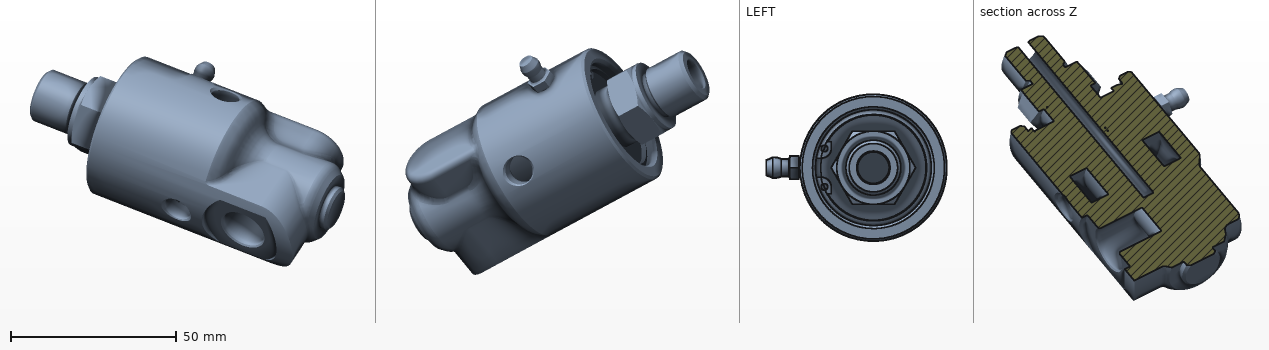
import cadquery as cq
import math

TOTAL_LENGTH = 100.2
TOTAL_WIDTH = 54.7

THREAD_R = 16.6 / 2
THREAD_CHAMFER = 1.0
THREAD_END = 13.4
RUNOUT_CHAMFER = 0.7
RELIEF_R = 7.4
COLLAR_START = 14.6
HEX_START = 16.0
HEX_END = 24.9
HEX_FLATS = 22.2
CORNERS_PER_FLATS = 1 / math.cos(math.pi / 6)
HEX_CORNERS = HEX_FLATS * CORNERS_PER_FLATS
HEX_CHAMFER = 0.9
NECK_R = 19.1 / 2
SHAFT_BORE_D = 9.5
SHAFT_BORE_DEPTH = 70.2
SHAFT_BORE_CHAMFER = 0.3

BODY_R = 44.5 / 2
BODY_START = 26.4
BODY_END = 64.9
BODY_CHAMFER = 0.7
RECESS_MOUTH_R = 18.4
RECESS_R = 35.1 / 2
RECESS_DEPTH = 4.4
RECESS_FLOOR = BODY_START + RECESS_DEPTH
DISC_R = 15.9
DISC_STEP = 0.4
DISC_FACE = RECESS_FLOOR - DISC_STEP

RING_RISE = 1.5
RING_FACE = DISC_FACE - RING_RISE
RING_INNER_R = 16.1
RING_BEVEL_ANGLE = 22.0
RING_BEVEL = (RECESS_R - RING_INNER_R) * math.tan(math.radians(RING_BEVEL_ANGLE))
RING_GAP = 5.8
LUG_INNER_Y = 12.7
LUG_TOP_Z = 7.8
LUG_CORNER_R = 3.0
LUG_HOLE_D = 2.0
LUG_HOLE_Y = 14.8
LUG_HOLE_Z = 5.8

SHOULDER_END = 69.5
SHOULDER_END_R = 17.8
WAIST_START = 77.3
WAIST_R = 12.8
TAIL_ROUND_START = 93.8
TAIL_ROUND_END = 96.2
TAIL_ROUND_END_R = 11.8
TAIL_END = 97.8
TAIL_END_R = 10.4
STUB_R = 13.6 / 2
STUB_CHAMFER = 0.8

BOSS_X = 84.1
PORT_BOSS_R = 12.6
BACK_BOSS_R = 9.8
BACK_BOSS_Y = 19.1
BACK_BOSS_ROUND = 2.1
BACK_BOSS_BLEND = 2.8
PORT_BOSS_BLEND = 1.6

PORT_X = 78.6
PORT_D = 13.9
PORT_MOUTH_D = 14.8
SPOTFACE_D = 25.4
SPOTFACE_Y = -19.8
PORT_FLOOR_Y = 1.0
TUBE_R = 6.2

WEEP_X = 57.2
WEEP_D = 8.6
WEEP_MOUTH_D = 10.1
WEEP_ANGLES = (60, 180, 300)
CHAMBER_R = 16.6
CHAMBER_LENGTH = 12.0
ROTOR_R = 11.0

NIPPLE_X = 40.4
NIPPLE_FLATS = 7.1
NIPPLE_HEX_BASE = 22.6
NIPPLE_HEX_TOP = 25.3
NIPPLE_TOP = TOTAL_WIDTH - BODY_R
NIPPLE_SEAT_R = 3.1
NIPPLE_NECK_R = 2.7
NIPPLE_NECK_BASE = 25.7
NIPPLE_NECK_TOP = 27.9
NIPPLE_HEAD_R = 6.3 / 2
NIPPLE_HEAD_Y = 29.4
NIPPLE_HEAD_EDGE = 30.5
NIPPLE_TIP_R = 2.3


def disc(radius, start, end):
    """Cylinder on the X axis."""
    return cq.Workplane("YZ", origin=(start, 0, 0)).circle(radius).extrude(end - start)


def drill(x, diameter, mouth_diameter, mouth_y, tip_y):
    """Flat-ended hole parallel to Y with a 45 degree countersink at its mouth."""
    sink = (mouth_diameter - diameter) / 2
    sink_y = mouth_y + math.copysign(sink, tip_y - mouth_y)
    return (
        cq.Workplane("XY", origin=(x, 0, 0))
        .moveTo(0, mouth_y)
        .lineTo(mouth_diameter / 2, mouth_y)
        .lineTo(diameter / 2, sink_y)
        .lineTo(diameter / 2, tip_y)
        .lineTo(0, tip_y)
        .close()
        .revolve(360, (0, 0, 0), (0, 1, 0))
    )


def spin(profile):
    """Solid of revolution about X from an XY profile."""
    return profile.close().revolve(360, (0, 0, 0), (1, 0, 0))


def make_shaft():
    """Threaded end, collar, hexagon and neck."""
    turned = spin(
        cq.Workplane("XY")
        .moveTo(0, 0)
        .lineTo(0, THREAD_R - THREAD_CHAMFER)
        .lineTo(THREAD_CHAMFER, THREAD_R)
        .lineTo(THREAD_END - RUNOUT_CHAMFER, THREAD_R)
        .lineTo(THREAD_END, RELIEF_R)
        .lineTo(COLLAR_START, RELIEF_R)
        .lineTo(COLLAR_START, HEX_FLATS / 2)
        .lineTo(HEX_START, HEX_FLATS / 2)
        .lineTo(HEX_START, NECK_R)
        .lineTo(RECESS_FLOOR, NECK_R)
        .lineTo(RECESS_FLOOR, 0)
    )
    hexagon = (
        cq.Workplane("YZ", origin=(HEX_START, 0, 0))
        .polygon(6, HEX_CORNERS)
        .extrude(HEX_END - HEX_START)
    )
    corner_trim = spin(
        cq.Workplane("XY")
        .moveTo(HEX_START, 0)
        .lineTo(HEX_START, HEX_FLATS / 2)
        .lineTo(HEX_START + HEX_CHAMFER, HEX_CORNERS / 2)
        .lineTo(HEX_END - HEX_CHAMFER, HEX_CORNERS / 2)
        .lineTo(HEX_END, HEX_FLATS / 2)
        .lineTo(HEX_END, 0)
    )
    return turned.union(hexagon.intersect(corner_trim))


def make_core():
    """Body cylinder, S-curved shoulder, waist and end stub."""
    return spin(
        cq.Workplane("XY")
        .moveTo(TOTAL_LENGTH, 0)
        .lineTo(TOTAL_LENGTH, STUB_R - STUB_CHAMFER)
        .lineTo(TOTAL_LENGTH - STUB_CHAMFER, STUB_R)
        .lineTo(TAIL_END, STUB_R)
        .lineTo(TAIL_END, TAIL_END_R)
        .lineTo(TAIL_ROUND_END, TAIL_ROUND_END_R)
        .tangentArcPoint((TAIL_ROUND_START, WAIST_R), relative=False)
        .lineTo(WAIST_START, WAIST_R)
        .tangentArcPoint((SHOULDER_END, SHOULDER_END_R), relative=False)
        .tangentArcPoint((BODY_END, BODY_R), relative=False)
        .lineTo(BODY_START + BODY_CHAMFER, BODY_R)
        .lineTo(BODY_START, BODY_R - BODY_CHAMFER)
        .lineTo(BODY_START, 0)
    )


def boss_outline(half_width):
    """Tongue reaching from inside the body to a round nose, in the XZ plane."""
    return (
        cq.Workplane("XZ")
        .moveTo(BODY_END, half_width)
        .lineTo(BOSS_X, half_width)
        .threePointArc((BOSS_X + half_width, 0), (BOSS_X, -half_width))
        .lineTo(BODY_END, -half_width)
        .close()
    )


def make_port_boss():
    """Boss towards -Y, trimmed flush with the body cylinder."""
    tongue = boss_outline(PORT_BOSS_R).extrude(BODY_R)
    return tongue.intersect(disc(BODY_R, BODY_END, TOTAL_LENGTH))


def make_back_boss():
    """Boss towards +Y with a flat, rounded-over end."""
    tongue = boss_outline(BACK_BOSS_R).extrude(-BACK_BOSS_Y)
    return tongue.faces(">Y").edges("not <X").fillet(BACK_BOSS_ROUND)


def recess_cut():
    """Chamfered front recess, deepest in the groove around the central disc."""
    mouth_depth = RECESS_MOUTH_R - RECESS_R
    return spin(
        cq.Workplane("XY")
        .moveTo(BODY_START, 0)
        .lineTo(BODY_START, RECESS_MOUTH_R)
        .lineTo(BODY_START + mouth_depth, RECESS_R)
        .lineTo(RECESS_FLOOR, RECESS_R)
        .lineTo(RECESS_FLOOR, DISC_R)
        .lineTo(DISC_FACE, DISC_R)
        .lineTo(DISC_FACE, 0)
    )


def ring_y(z):
    """Y of the snap ring's inner edge at a given Z."""
    return math.sqrt(RING_INNER_R**2 - z**2)


def make_snap_ring():
    """Open ring with a bevelled face and a drilled lug at each end."""
    ring = spin(
        cq.Workplane("XY")
        .moveTo(RECESS_FLOOR, RING_INNER_R)
        .lineTo(RING_FACE, RING_INNER_R)
        .lineTo(RING_FACE + RING_BEVEL, RECESS_R)
        .lineTo(RECESS_FLOOR, RECESS_R)
    )
    plane = cq.Workplane("YZ", origin=(RING_FACE, 0, 0))
    thickness = RECESS_FLOOR - RING_FACE
    gap_z = RING_GAP / 2
    gap_length = 2 * (RECESS_R - LUG_INNER_Y)
    gap = plane.center(RECESS_R, 0).rect(gap_length, RING_GAP).extrude(thickness)
    ring = ring.cut(gap)
    lug = (
        plane.moveTo(ring_y(gap_z), gap_z)
        .lineTo(LUG_INNER_Y + LUG_CORNER_R, gap_z)
        .radiusArc((LUG_INNER_Y, gap_z + LUG_CORNER_R), LUG_CORNER_R)
        .lineTo(LUG_INNER_Y, LUG_TOP_Z)
        .lineTo(ring_y(LUG_TOP_Z), LUG_TOP_Z)
        .threePointArc((ring_y(LUG_HOLE_Z), LUG_HOLE_Z), (ring_y(gap_z), gap_z))
        .close()
        .extrude(thickness)
    )
    ring = ring.union(lug).union(lug.mirror("XY"))
    hole_centres = [(LUG_HOLE_Y, LUG_HOLE_Z), (LUG_HOLE_Y, -LUG_HOLE_Z)]
    holes = plane.pushPoints(hole_centres).circle(LUG_HOLE_D / 2).extrude(thickness)
    return ring.cut(holes)


def make_nipple():
    """Hexagon and turned stem with a ball head."""
    hexagon = (
        cq.Workplane("XZ", origin=(NIPPLE_X, NIPPLE_HEX_BASE, 0))
        .polygon(6, NIPPLE_FLATS * CORNERS_PER_FLATS)
        .extrude(NIPPLE_HEX_BASE - NIPPLE_HEX_TOP)
    )
    stem = (
        cq.Workplane("XY", origin=(NIPPLE_X, 0, 0))
        .moveTo(0, CHAMBER_R)
        .lineTo(NIPPLE_SEAT_R, CHAMBER_R)
        .lineTo(NIPPLE_SEAT_R, NIPPLE_HEX_TOP)
        .lineTo(NIPPLE_NECK_R, NIPPLE_NECK_BASE)
        .lineTo(NIPPLE_NECK_R, NIPPLE_NECK_TOP)
        .threePointArc((NIPPLE_HEAD_R, NIPPLE_HEAD_Y), (NIPPLE_HEAD_R, NIPPLE_HEAD_EDGE))
        .lineTo(NIPPLE_TIP_R, NIPPLE_TOP)
        .lineTo(0, NIPPLE_TOP)
        .close()
        .revolve(360, (0, 0, 0), (0, 1, 0))
    )
    return hexagon.union(stem)


def shaft_bore_cut():
    """Blind bore from the shaft tip."""
    bore_r = SHAFT_BORE_D / 2
    return spin(
        cq.Workplane("XY")
        .moveTo(0, 0)
        .lineTo(0, bore_r + SHAFT_BORE_CHAMFER)
        .lineTo(SHAFT_BORE_CHAMFER, bore_r)
        .lineTo(SHAFT_BORE_DEPTH, bore_r)
        .lineTo(SHAFT_BORE_DEPTH, 0)
    )


def port_cut():
    """Spotface and chamfered flat-bottomed port, crossed by the inner tube."""
    spotface = (
        cq.Workplane("XZ", origin=(PORT_X, SPOTFACE_Y, 0))
        .circle(SPOTFACE_D / 2)
        .extrude(BODY_R + SPOTFACE_Y)
    )
    bore = drill(PORT_X, PORT_D, PORT_MOUTH_D, SPOTFACE_Y, PORT_FLOOR_Y)
    tube = disc(TUBE_R, PORT_X - PORT_D, PORT_X + PORT_D)
    return spotface.union(bore.cut(tube))


def weep_cut():
    """Countersunk radial holes opening into a ring-shaped chamber around the rotor."""
    chamber_start = WEEP_X - CHAMBER_LENGTH / 2
    chamber_end = WEEP_X + CHAMBER_LENGTH / 2
    hole = drill(WEEP_X, WEEP_D, WEEP_MOUTH_D, BODY_R, 0)
    cut = disc(CHAMBER_R, chamber_start, chamber_end)
    for angle in WEEP_ANGLES:
        cut = cut.union(hole.rotate((0, 0, 0), (1, 0, 0), angle))
    return cut.cut(disc(ROTOR_R, chamber_start, chamber_end))


def blend_boss(body, half_width, side, radius):
    """Fillet the seam of a boss, picked by its straight runs along the waist.

    side is +1 for the boss towards +Y and -1 for the one towards -Y.
    """
    middle_x = (WAIST_START + BOSS_X) / 2
    seam_y = side * math.sqrt(WAIST_R**2 - half_width**2)
    upper = cq.selectors.NearestToPointSelector((middle_x, seam_y, half_width))
    lower = cq.selectors.NearestToPointSelector((middle_x, seam_y, -half_width))
    return body.edges(upper + lower).fillet(radius)


housing = make_core().union(make_port_boss()).union(make_back_boss())
housing = blend_boss(housing, BACK_BOSS_R, 1, BACK_BOSS_BLEND)
housing = blend_boss(housing, PORT_BOSS_R, -1, PORT_BOSS_BLEND)
housing = housing.cut(recess_cut()).cut(port_cut()).cut(weep_cut())

result = housing.union(make_snap_ring()).union(make_shaft()).union(make_nipple())
result = result.cut(shaft_bore_cut())